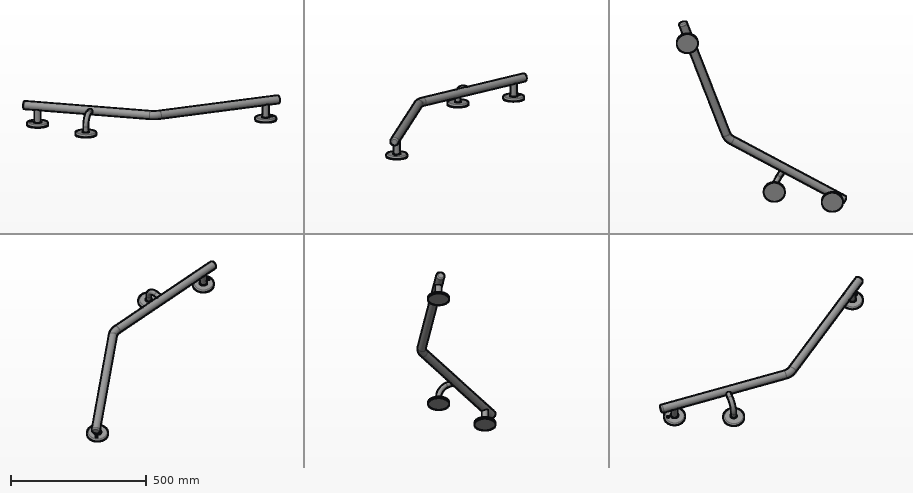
import cadquery as cq
import math

OVERALL_X = 898.67
OVERALL_Y = 448.49
OVERALL_Z = 89.3

RAIL_DIAMETER = 32.0
RAIL_RADIUS = RAIL_DIAMETER / 2
BEND_ANGLE = 40.0
BEND_RADIUS = 50.0
END_ROUNDING = 5.5
AXIS_HEIGHT = OVERALL_Z - RAIL_RADIUS

FLANGE_DIAMETER = 80.0
FLANGE_HEIGHT = 11.5
FLANGE_RIM_ROUNDING = 5.5
BASE_PLATE_DIAMETER = 79.0
BASE_PLATE_THICKNESS = 3.0

BEAD_WIDTH = 2.5
BEAD_HEIGHT = 1.5
SCREW_HEAD_DIAMETER = 10.0
SCREW_HEAD_HEIGHT = 1.5
SCREW_OFFSET = 25.0

POST_DIAMETER = 25.0
POST_END_DISTANCE = 53.5

ARM_DIAMETER = 20.0
ARM_BEND_RADIUS = 40.0
ARM_X = 259.5

COS_BEND = math.cos(math.radians(BEND_ANGLE))
SIN_BEND = math.sin(math.radians(BEND_ANGLE))
BEND_DX = BEND_RADIUS * SIN_BEND
BEND_DY = BEND_RADIUS * (1 - COS_BEND)
ROUNDING_LOSS = END_ROUNDING * (COS_BEND + SIN_BEND - 1)
LEG_LENGTH = (OVERALL_X - BEND_DX - RAIL_RADIUS * SIN_BEND + ROUNDING_LOSS) / (1 + COS_BEND)
RAIL_TOP_Y = BEND_DY + LEG_LENGTH * SIN_BEND + RAIL_RADIUS * COS_BEND - ROUNDING_LOSS
ARM_REACH = OVERALL_Y - RAIL_TOP_Y - FLANGE_DIAMETER / 2


def point_on_second_leg(distance):
    """Plan position at a distance past the end of the bend."""
    return (LEG_LENGTH + BEND_DX + distance * COS_BEND, BEND_DY + distance * SIN_BEND)


def make_rail():
    """Round bar along the bent axis, with both ends rounded over."""
    half_angle = math.radians(BEND_ANGLE / 2)
    bend_middle = (
        LEG_LENGTH + BEND_RADIUS * math.sin(half_angle),
        BEND_RADIUS * (1 - math.cos(half_angle)),
    )
    path = (
        cq.Workplane("XY", origin=(0, 0, AXIS_HEIGHT))
        .lineTo(LEG_LENGTH, 0)
        .threePointArc(bend_middle, point_on_second_leg(0))
        .lineTo(*point_on_second_leg(LEG_LENGTH))
    )
    rail = cq.Workplane("YZ", origin=(0, 0, AXIS_HEIGHT)).circle(RAIL_RADIUS).sweep(path)
    second_end = cq.selectors.DirectionMinMaxSelector(cq.Vector(COS_BEND, SIN_BEND, 0))
    rail = rail.faces("<X").edges().fillet(END_ROUNDING)
    return rail.faces(second_end).edges().fillet(END_ROUNDING)


def make_disc(x, y, bottom, diameter, thickness):
    """Upright round disc standing on the given height."""
    return cq.Workplane("XY", origin=(x, y, bottom)).circle(diameter / 2).extrude(thickness)


def make_flange(x, y, bar_diameter):
    """Base plate, rounded cover and the sloping bead around the bar."""
    base_plate = make_disc(x, y, 0, BASE_PLATE_DIAMETER, BASE_PLATE_THICKNESS)
    cover = make_disc(x, y, BASE_PLATE_THICKNESS, FLANGE_DIAMETER, FLANGE_HEIGHT - BASE_PLATE_THICKNESS)
    cover = cover.faces(">Z").edges().fillet(FLANGE_RIM_ROUNDING)
    bar_radius = bar_diameter / 2
    bead_base = cq.Vector(x, y, FLANGE_HEIGHT)
    bead = cq.Solid.makeCone(bar_radius + BEAD_WIDTH, bar_radius, BEAD_HEIGHT, bead_base)
    return base_plate.union(cover).union(cq.Workplane(bead))


def make_screw_head(x, y):
    """Low round screw head on top of a flange."""
    return make_disc(x, y, FLANGE_HEIGHT, SCREW_HEAD_DIAMETER, SCREW_HEAD_HEIGHT)


def make_post(x, y):
    """Straight post from the wall up to the rail axis."""
    return cq.Workplane("XY", origin=(x, y, 0)).circle(POST_DIAMETER / 2).extrude(AXIS_HEIGHT)


def make_arm():
    """Round bar rising from the wall and turning back into the rail."""
    bend_start = AXIS_HEIGHT - ARM_BEND_RADIUS
    bend_end = ARM_BEND_RADIUS - ARM_REACH
    path = (
        cq.Workplane("YZ", origin=(ARM_X, 0, 0))
        .moveTo(-ARM_REACH, 0)
        .lineTo(-ARM_REACH, bend_start)
        .radiusArc((bend_end, AXIS_HEIGHT), ARM_BEND_RADIUS)
        .lineTo(0, AXIS_HEIGHT)
    )
    return cq.Workplane("XY", origin=(ARM_X, -ARM_REACH, 0)).circle(ARM_DIAMETER / 2).sweep(path)


def make_post_support(post, screw):
    """Post with its flange and the screw head beside it."""
    support = make_post(*post).union(make_flange(*post, POST_DIAMETER))
    return support.union(make_screw_head(*screw))


SCREW_END_DISTANCE = POST_END_DISTANCE - SCREW_OFFSET
first_support = make_post_support((POST_END_DISTANCE, 0), (SCREW_END_DISTANCE, 0))
second_support = make_post_support(
    point_on_second_leg(LEG_LENGTH - POST_END_DISTANCE),
    point_on_second_leg(LEG_LENGTH - SCREW_END_DISTANCE),
)
arm_support = make_arm().union(make_flange(ARM_X, -ARM_REACH, ARM_DIAMETER))

result = make_rail().union(first_support).union(second_support).union(arm_support)